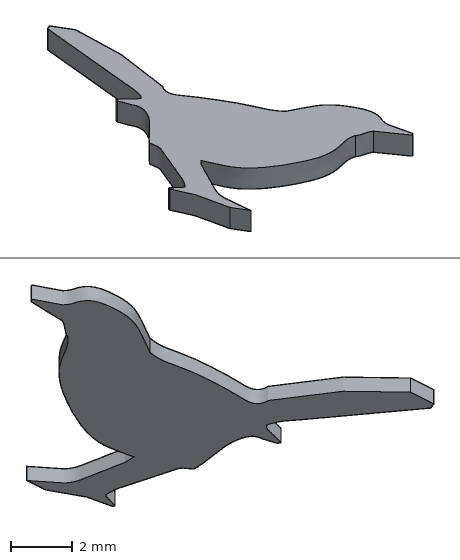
import cadquery as cq

length = 13.36
height = 9.6
thickness = 0.8

tail_top = (0.9, height)
tail_bend = (2.78, 8.48)
tail_root = (4.66, 6.88)
nape = (8.98, 6.49)
brow = (12.1, 6.87)
beak_root = (12.4, 6.6)
beak_upper = (13.29, 6.29)
beak_tip = (length, 6.23)
beak_lower = (13.29, 6.16)
chin = (12.08, 6.05)
throat = (11.58, 5.61)
leg_front_top = (7.2, 2.65)
shin_front_top = (7.33, 2.31)
shin_front_bottom = (8.2, 0.95)
instep = (8.59, 0.56)
toe_tip = (9.69, 0)
toe_underside = (8.96, 0)
sole = (7.65, 0.47)
hind_toe_lower = (6.76, 0.59)
hind_toe_upper = (6.7, 0.65)
ankle = (7.08, 0.8)
heel = (7.16, 0.94)
shin_rear_bottom = (6.84, 1.48)
shin_rear_top = (5.78, 2.93)
thigh = (5.5, 3.15)
rump = (5.28, 3.26)
wing_root = (4.03, 5.46)
wing_tip_lower = (3.5, 5.57)
wing_tip_upper = (3.42, 5.66)
wing_notch = (4.07, 5.88)
tail_under_root = (3.4, 6.75)
tail_bottom = (0, 9.4)


def draw_back_and_head(path):
    """Tail top edge, back, rounded head and the pointed beak."""
    return (
        path.lineTo(*tail_top)
        .lineTo(*tail_bend)
        .lineTo(*tail_root)
        .spline([(5.01, 6.53), (5.61, 6.52), (6.68, 6.56), (7.75, 6.5), (8.55, 6.43), nape],
                includeCurrent=True)
        .spline([(9.49, 6.88), (10.05, 7.23), (10.95, 7.36), (11.69, 7.23), brow],
                includeCurrent=True)
        .threePointArc((12.24, 6.72), beak_root)
        .lineTo(*beak_upper)
        .threePointArc(beak_tip, beak_lower)
        .lineTo(*chin)
    )


def draw_breast(path):
    """Stepped throat, then the full breast and belly curve down to the leg."""
    return (
        path.spline([(11.92, 5.93), (11.78, 5.77), throat], includeCurrent=True)
        .spline([(11.4, 5.28), (11.28, 4.75), (11.05, 4.21), (10.29, 3.42), (9.35, 2.82),
                 (8.45, 2.54), (7.82, 2.57), leg_front_top], includeCurrent=True)
    )


def draw_leg(path):
    """Slanted shin with a forward toe and a short hind toe."""
    return (
        path.lineTo(*shin_front_top)
        .lineTo(*shin_front_bottom)
        .threePointArc((8.38, 0.73), instep)
        .lineTo(*toe_tip)
        .lineTo(*toe_underside)
        .lineTo(*sole)
        .lineTo(*hind_toe_lower)
        .lineTo(*hind_toe_upper)
        .lineTo(*ankle)
        .threePointArc((7.16, 0.85), heel)
        .threePointArc((7.03, 1.22), shin_rear_bottom)
        .lineTo(*shin_rear_top)
        .threePointArc((5.65, 3.07), thigh)
    )


def draw_rump_and_tail(path):
    """Rear body curve, small wing tip and the straight underside of the tail."""
    return (
        path.lineTo(*rump)
        .spline([(5.12, 3.74), (4.88, 4.62), (4.6, 5.15), (4.38, 5.36), wing_root],
                includeCurrent=True)
        .lineTo(*wing_tip_lower)
        .lineTo(*wing_tip_upper)
        .lineTo(*wing_notch)
        .spline([(4.18, 5.99), (4.06, 6.19), (3.75, 6.48), tail_under_root], includeCurrent=True)
        .lineTo(*tail_bottom)
        .close()
    )


outline = cq.Workplane("XY").moveTo(0, height)
outline = draw_back_and_head(outline)
outline = draw_breast(outline)
outline = draw_leg(outline)
outline = draw_rump_and_tail(outline)

result = outline.extrude(thickness)